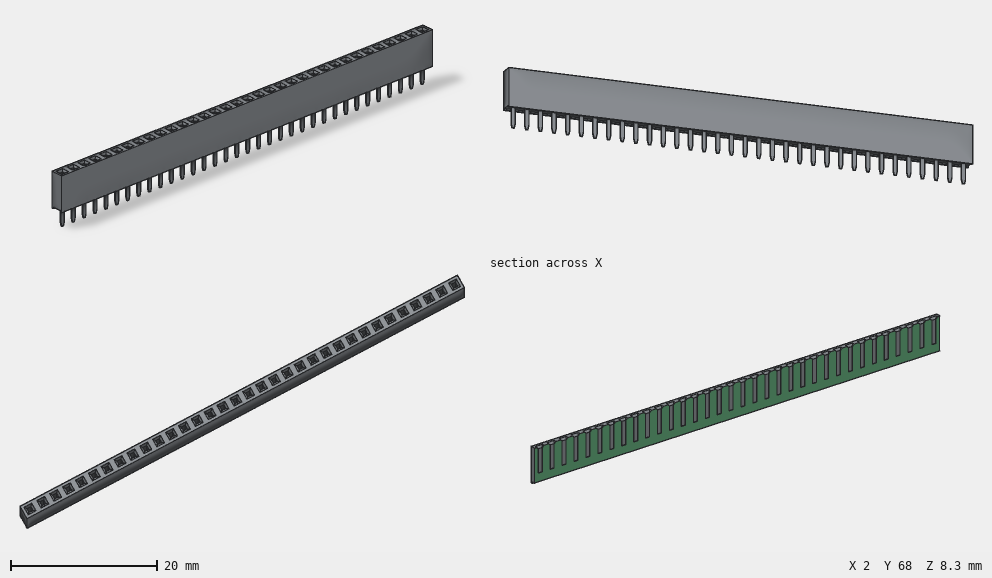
import cadquery as cq

POSITIONS = 34
PITCH = 2.0
WIDTH = 2.0
TOTAL_HEIGHT = 8.3

TAIL_LENGTH = 2.7
BODY_HEIGHT = TOTAL_HEIGHT - TAIL_LENGTH
BODY_LENGTH = POSITIONS * PITCH

GROOVE_WIDTH = 1.4
GROOVE_DEPTH = 0.2

LEAD_IN_X = 1.2
LEAD_IN_Y = 1.2
LEAD_IN_DEPTH = 0.3
HOLE_X = LEAD_IN_X - 2 * LEAD_IN_DEPTH
HOLE_Y = LEAD_IN_Y - 2 * LEAD_IN_DEPTH
HOLE_DEPTH = 4.0

BLADE_Y = 0.5
BLADE_HEIGHT = 2.0
CONTACT_X = 0.2
TAIL_Y = 0.6
TIP_Y = 0.3
TIP_LENGTH = 0.6

TAIL_END_Z = -TAIL_LENGTH
HOLE_FLOOR_Z = BODY_HEIGHT - HOLE_DEPTH
TIP_START_Z = TAIL_END_Z + TIP_LENGTH
POSITION_CENTERS = [(0, (i - (POSITIONS - 1) / 2) * PITCH) for i in range(POSITIONS)]


def make_body():
    """Bar standing on Z = 0 with the groove cut along its underside."""
    bar = cq.Workplane("XY").box(WIDTH, BODY_LENGTH, BODY_HEIGHT, centered=(True, True, False))
    groove = cq.Workplane("XY").box(GROOVE_WIDTH, BODY_LENGTH, GROOVE_DEPTH, centered=(True, True, False))
    return bar.cut(groove)


def make_opening():
    """Cutter for one contact opening, centred on the Z axis."""
    lead_in = (
        cq.Workplane("XY", origin=(0, 0, BODY_HEIGHT))
        .rect(LEAD_IN_X, LEAD_IN_Y)
        .workplane(offset=-LEAD_IN_DEPTH)
        .rect(HOLE_X, HOLE_Y)
        .loft(ruled=True)
    )
    hole = (
        cq.Workplane("XY", origin=(0, 0, HOLE_FLOOR_Z))
        .rect(HOLE_X, HOLE_Y)
        .extrude(HOLE_DEPTH - LEAD_IN_DEPTH)
    )
    return lead_in.union(hole)


def make_blade():
    """Flat contact blade standing on the floor of the hole."""
    return cq.Workplane("XY", origin=(0, 0, HOLE_FLOOR_Z)).rect(CONTACT_X, BLADE_Y).extrude(BLADE_HEIGHT)


def make_tail():
    """Flat solder tail below the body, narrowing in Y towards its tip."""
    return (
        cq.Workplane("YZ", origin=(-CONTACT_X / 2, 0, 0))
        .moveTo(-TAIL_Y / 2, GROOVE_DEPTH)
        .lineTo(-TAIL_Y / 2, TIP_START_Z)
        .lineTo(-TIP_Y / 2, TAIL_END_Z)
        .lineTo(TIP_Y / 2, TAIL_END_Z)
        .lineTo(TAIL_Y / 2, TIP_START_Z)
        .lineTo(TAIL_Y / 2, GROOVE_DEPTH)
        .close()
        .extrude(CONTACT_X)
    )


def at_each_position(shape):
    """One copy of the shape at every contact position."""
    solid = shape.val()
    return cq.Workplane("XY").pushPoints(POSITION_CENTERS).eachpoint(lambda place: solid.moved(place))


body = make_body().cut(at_each_position(make_opening()))
result = body.union(at_each_position(make_blade())).union(at_each_position(make_tail()))